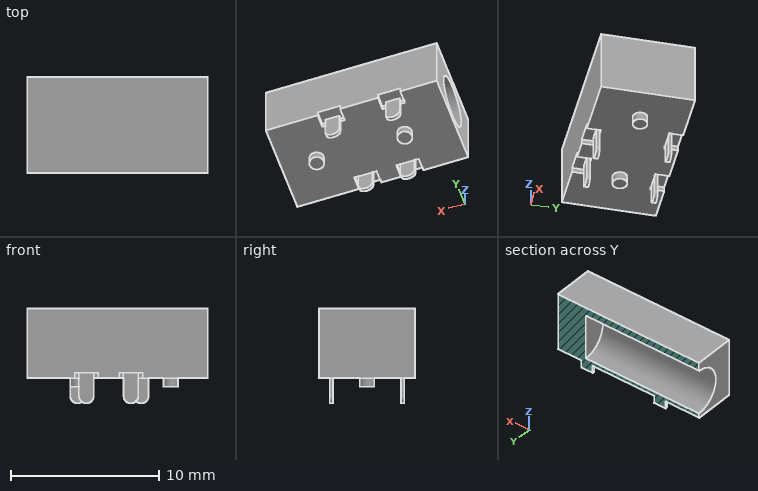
import cadquery as cq

length = 12.2
width = 6.5
overall_height = 6.4
leg_reach = 1.71
height = overall_height - leg_reach

bore_diameter = 3.6
bore_height = 2.2
bore_depth = 9.76

post_diameter = 1.0
post_length = 0.6
post_positions = [3.4, 9.69]

leg_width = 1.0
leg_thickness = 0.25
leg_offset = 2.4
front_leg_positions = [4.0, 7.0]
rear_leg_positions = [3.4, 7.7]
notch_width = 1.6
notch_height = 0.37
notch_depth = width / 2 - leg_offset + leg_thickness / 2

FRONT = -1
REAR = 1
leg_places = [(x, FRONT) for x in front_leg_positions] + [(x, REAR) for x in rear_leg_positions]


def make_bore():
    """Cylinder entering the housing from its open end."""
    return cq.Workplane("YZ").center(0, bore_height).circle(bore_diameter / 2).extrude(bore_depth)


def make_notch(x, side):
    """Block removed from the lower edge of one long side."""
    y = side * (width - notch_depth) / 2
    return (
        cq.Workplane("XY")
        .center(x, y)
        .rect(notch_width, notch_depth)
        .extrude(notch_height)
    )


def make_housing():
    """Block with its posts, bore and leg notches."""
    block = cq.Workplane("XY").box(length, width, height, centered=(False, True, False))
    posts = (
        cq.Workplane("XY")
        .pushPoints([(x, 0) for x in post_positions])
        .circle(post_diameter / 2)
        .extrude(-post_length)
    )
    body = block.union(posts).cut(make_bore())
    for x, side in leg_places:
        body = body.cut(make_notch(x, side))
    return body


def make_leg(x, side):
    """Flat leg with a round tip, reaching up to the notch ceiling."""
    radius = leg_width / 2
    return (
        cq.Workplane("XZ", origin=(x, side * leg_offset, 0))
        .moveTo(-radius, notch_height)
        .lineTo(-radius, radius - leg_reach)
        .threePointArc((0, -leg_reach), (radius, radius - leg_reach))
        .lineTo(radius, notch_height)
        .close()
        .extrude(leg_thickness / 2, both=True)
    )


housing = make_housing()
legs = [make_leg(x, side) for x, side in leg_places]

result = cq.Compound.makeCompound([housing.val(), *[leg.val() for leg in legs]])